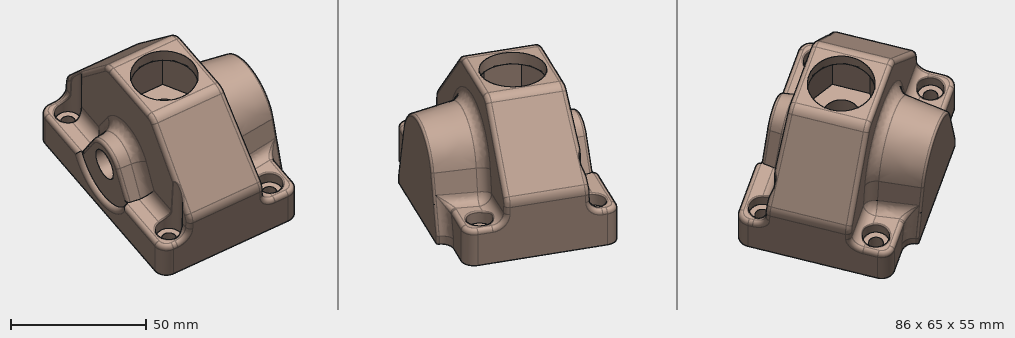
import math

import cadquery as cq

base_length = 86
base_width = 60.0
base_height = 15.1
corner_radius = 5.0

hump_center_y = -2.0
total_height = 55
shoulder_height = 24.85
top_half_length = 15.7
hump_top_width = 31.1
hump_foot_width = 33.4
hump_roll_radius = 5.7

root_radius = 4.7
outer_edge_radius = 1.9

axis_z = 22.0
boss_draft = 8
boss_root_inset = 8.6
front_boss_radius = 10.1
front_side_angle = 30
front_skirt_z = 12.9
front_edge_radius = 1.5
rear_boss_radius = 18.0
rear_side_angle = 15.5
rear_skirt_z = 3.4
rear_edge_radius = 1.0
rear_overhang = 5.0
recess_radius = 17.2
recess_depth = 2.0

pocket_width = 25.0
mouth_depth = 5.0
pocket_depth = 20.0
bore_diameter = 14.0
chamber_length = 20.0
front_bore_diameter = 12.1

screw_x = 34.9
screw_y = 21.9
screw_diameter = 5.5
counterbore_diameter = 10.1
counterbore_depth = 5.0
rim_radius = 0.5

half_length = base_length / 2
half_width = base_width / 2
front_face_y = -half_width + recess_depth
rear_face_y = half_width + rear_overhang
hump_front_y = hump_center_y - hump_foot_width / 2
hump_rear_y = hump_center_y + hump_foot_width / 2
selection_margin = 0.2


def edges_inside(low, high):
    """Selector for edges lying wholly between two corner points, give or take a small margin."""
    padded_low = tuple(value - selection_margin for value in low)
    padded_high = tuple(value + selection_margin for value in high)
    return cq.selectors.BoxSelector(padded_low, padded_high, boundingbox=True)


def make_base():
    flange = cq.Workplane("XY").box(
        base_length, base_width, base_height, centered=(True, True, False)
    )
    return flange.edges("|Z").fillet(corner_radius)


def make_hump():
    across = (
        cq.Workplane("XZ", origin=(0, half_width, 0))
        .polyline([
            (-half_length, 0),
            (half_length, 0),
            (half_length, shoulder_height),
            (top_half_length, total_height),
            (-top_half_length, total_height),
            (-half_length, shoulder_height),
        ])
        .close()
        .extrude(base_width)
    )
    upper_corners = edges_inside(
        (-half_length, -half_width, shoulder_height), (half_length, half_width, total_height)
    )
    across = across.edges("|Y").edges(upper_corners).fillet(hump_roll_radius)

    half_top = hump_top_width / 2
    half_foot = hump_foot_width / 2
    wall_slope = (half_foot - half_top) / (total_height - base_height)
    half_bottom = half_foot + wall_slope * base_height
    along = (
        cq.Workplane("YZ", origin=(-half_length, 0, 0))
        .polyline([
            (hump_center_y - half_bottom, 0),
            (hump_center_y + half_bottom, 0),
            (hump_center_y + half_top, total_height),
            (hump_center_y - half_top, total_height),
        ])
        .close()
        .extrude(base_length)
    )
    return across.intersect(along)


def boss_outline(y, radius, side_angle, skirt_z):
    """Round top with tangent sides spreading down to skirt_z, then straight down to z = 0."""
    angle = math.radians(side_angle)
    tangent_x = radius * math.cos(angle)
    tangent_z = axis_z + radius * math.sin(angle)
    skirt_x = tangent_x + (tangent_z - skirt_z) * math.tan(angle)
    outline = (
        cq.Workplane("XZ", origin=(0, y, 0))
        .moveTo(-skirt_x, 0)
        .lineTo(skirt_x, 0)
        .lineTo(skirt_x, skirt_z)
        .lineTo(tangent_x, tangent_z)
        .threePointArc((0, axis_z + radius), (-tangent_x, tangent_z))
        .lineTo(-skirt_x, skirt_z)
        .close()
    )
    return outline.wire().val()


def make_boss(face_y, root_y, radius, side_angle, skirt_z):
    """Boss that widens with the draft from its face to a root inside the hump."""
    radius_at_root = radius + abs(root_y - face_y) * math.tan(math.radians(boss_draft))
    face = boss_outline(face_y, radius, side_angle, skirt_z)
    root = boss_outline(root_y, radius_at_root, side_angle, skirt_z)
    return cq.Workplane(cq.Solid.makeLoft([face, root], True))


def make_front_boss():
    boss = make_boss(
        front_face_y,
        hump_center_y - boss_root_inset,
        front_boss_radius,
        front_side_angle,
        front_skirt_z,
    )
    return boss.faces("<Y").edges("not <Z").fillet(front_edge_radius)


def make_rear_boss():
    boss = make_boss(
        rear_face_y,
        hump_center_y + boss_root_inset,
        rear_boss_radius,
        rear_side_angle,
        rear_skirt_z,
    )
    return boss.faces(">Y").edges("not <Z").fillet(rear_edge_radius)


def round_roots(body):
    """Fillet the inner corners where the hump, the base and the bosses meet."""
    hump_foot = edges_inside(
        (-half_length, hump_front_y, base_height), (half_length, hump_rear_y, base_height)
    )
    seam_half_length = 30.1
    seam_top_z = 51.6
    boss_seams = edges_inside(
        (-seam_half_length, hump_front_y, base_height), (seam_half_length, hump_rear_y, seam_top_z)
    )
    rear_boss_foot = edges_inside(
        (-seam_half_length, hump_rear_y, 0), (seam_half_length, half_width, base_height)
    )
    return body.edges(hump_foot + boss_seams + rear_boss_foot).fillet(root_radius)


def round_outer_edges(body):
    """Fillet the base rim; the rounding runs on tangentially up and over the hump."""
    front_rim = edges_inside(
        (-half_length, -half_width, base_height), (half_length, -half_width, base_height)
    )
    rear_rim = edges_inside(
        (-half_length, half_width, base_height), (half_length, half_width, base_height)
    )
    return body.edges(front_rim + rear_rim).fillet(outer_edge_radius)


def make_front_recess():
    """Round recess in the front of the base whose mouth flares out in a quarter round."""
    mouth_radius = recess_radius + recess_depth
    diagonal = recess_depth * math.sqrt(0.5)
    return (
        cq.Workplane("XY", origin=(0, 0, axis_z))
        .moveTo(0, front_face_y)
        .lineTo(recess_radius, front_face_y)
        .threePointArc((mouth_radius - diagonal, front_face_y - diagonal), (mouth_radius, -half_width))
        .lineTo(0, -half_width)
        .close()
        .revolve(360, (0, 0, 0), (0, 1, 0))
    )


def cut_screw_holes(body):
    """Drill the screw holes; the counterbores also scoop into the hump walls."""
    floor_z = base_height - counterbore_depth
    spacing = (2 * screw_x, 2 * screw_y, 2, 2)
    counterbores = (
        cq.Workplane("XY", origin=(0, 0, floor_z))
        .rarray(*spacing)
        .circle(counterbore_diameter / 2)
        .extrude(total_height)
    )
    body = body.cut(counterbores)
    reach = counterbore_diameter / 2
    for side_x in (-screw_x, screw_x):
        for side_y in (-screw_y, screw_y):
            rim = edges_inside(
                (side_x - reach, side_y - reach, base_height),
                (side_x + reach, side_y + reach, base_height),
            )
            body = body.edges(rim).fillet(rim_radius)
    holes = cq.Workplane("XY").rarray(*spacing).circle(screw_diameter / 2).extrude(base_height)
    return body.cut(holes)


def cylinder_along_y(diameter, start_y, end_y):
    """Cylinder on the boss axis from the front end start_y to the rear end end_y."""
    return (
        cq.Workplane("XZ", origin=(0, start_y, axis_z))
        .circle(diameter / 2)
        .extrude(start_y - end_y)
    )


def cut_bores(body):
    """Hexagon nut pocket with a round mouth, a bore below it and a chamber along the boss axis."""
    pocket_floor_z = total_height - pocket_depth
    plan = cq.Workplane("XY", origin=(0, hump_center_y, pocket_floor_z))
    hexagon = plan.polygon(6, pocket_width, circumscribed=True).extrude(pocket_depth - mouth_depth)
    mouth = plan.circle(pocket_width / 2).extrude(pocket_depth)
    bore = plan.circle(bore_diameter / 2).extrude(axis_z - pocket_floor_z)
    chamber_front_y = hump_center_y - chamber_length / 2
    chamber = cylinder_along_y(bore_diameter, chamber_front_y, chamber_front_y + chamber_length)
    front_bore = cylinder_along_y(front_bore_diameter, -half_width, hump_center_y)
    for tool in (hexagon, mouth, bore, chamber, front_bore):
        body = body.cut(tool)
    return body


body = make_base().union(make_hump()).union(make_rear_boss()).union(make_front_boss())
body = round_roots(body)
body = round_outer_edges(body)
body = body.cut(make_front_recess())
body = cut_screw_holes(body)
result = cut_bores(body)